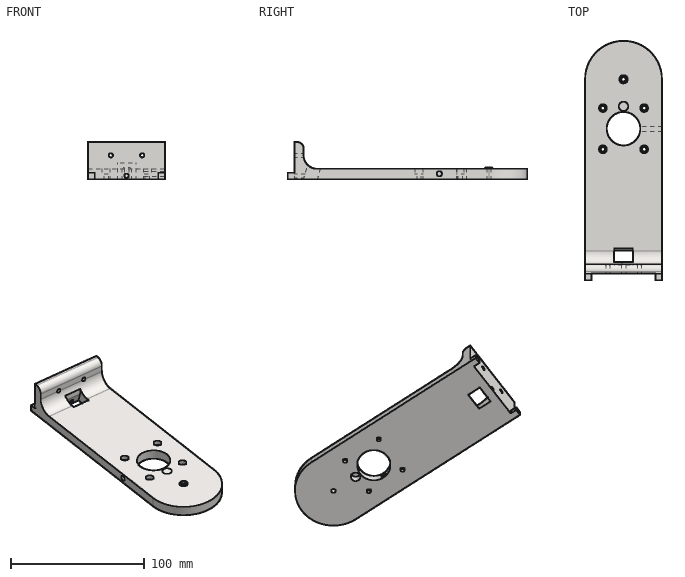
import cadquery as cq
import math

length = 180.0
width = 58.0
height = 28.0
plate_thickness = 8.0
end_radius = width / 2

foot_size = 5.0
wall_thickness = 7.0
wall_front = foot_size
wall_back = wall_front + wall_thickness
inner_fillet = 10.0
top_round = 5.0
wall_hole_diameter = 3.0
wall_hole_spacing = 23.5
wall_hole_height = 18.0

bore_diameter = 25.0
bore_y = 114.0
mount_spacing = 31.0
screw_diameter = 3.2
counterbore_diameter = 6.0
counterbore_depth = 4.0

boss_y = length - end_radius
boss_base_diameter = 6.3
boss_top_diameter = 4.9
boss_height = 1.0

pocket_diameter = 7.0
pocket_y = 130.7
pocket_skin = 0.2

window_width = 14.0
window_front = 13.9
window_lean = 2.2
window_back = 24.3

front_hole_diameter = 3.2
front_hole_height = 2.7
side_hole_diameter = 4.0
side_hole_height = 4.1


def vertical_cylinder(diameter, x, y, bottom, top):
    cylinder = cq.Workplane("XY", origin=(x, y, bottom)).circle(diameter / 2)
    return cylinder.extrude(top - bottom)


def hole_along_y(diameter, x, z, y_end):
    solid = cq.Solid.makeCylinder(diameter / 2, y_end, cq.Vector(x, 0, z), cq.Vector(0, 1, 0))
    return cq.Workplane(solid)


def make_plate():
    outline = (
        cq.Workplane("XY")
        .moveTo(-width / 2, wall_front)
        .lineTo(width / 2, wall_front)
        .lineTo(width / 2, boss_y)
        .threePointArc((0, length), (-width / 2, boss_y))
        .close()
    )
    return outline.extrude(plate_thickness)


def make_wall():
    """Upright wall with a rounded top edge and a concave foot."""
    round_shift = top_round * math.sqrt(0.5)
    fillet_shift = inner_fillet * math.sqrt(0.5)
    fillet_y = wall_back + inner_fillet
    fillet_z = plate_thickness + inner_fillet
    profile = (
        cq.Workplane("YZ", origin=(-width / 2, 0, 0))
        .moveTo(wall_front, 0)
        .lineTo(wall_front, height)
        .lineTo(wall_back - top_round, height)
        .threePointArc(
            (wall_back - top_round + round_shift, height - top_round + round_shift),
            (wall_back, height - top_round),
        )
        .lineTo(wall_back, fillet_z)
        .threePointArc(
            (fillet_y - fillet_shift, fillet_z - fillet_shift),
            (fillet_y, plate_thickness),
        )
        .lineTo(fillet_y, 0)
        .close()
    )
    return profile.extrude(width)


def make_foot(side):
    """Square foot flush with one side of the plate; side is -1 or 1."""
    centre_x = side * (width - foot_size) / 2
    return cq.Workplane("XY").box(
        foot_size, foot_size, foot_size, centered=(True, False, False)
    ).translate((centre_x, 0, 0))


def make_boss():
    return (
        cq.Workplane("XY", origin=(0, boss_y, plate_thickness))
        .circle(boss_base_diameter / 2)
        .workplane(offset=boss_height)
        .circle(boss_top_diameter / 2)
        .loft()
    )


def make_window():
    profile = (
        cq.Workplane("YZ", origin=(-window_width / 2, 0, 0))
        .moveTo(window_front - window_lean, 0)
        .lineTo(window_front, plate_thickness)
        .lineTo(window_front, height)
        .lineTo(window_back, height)
        .lineTo(window_back, plate_thickness)
        .lineTo(window_back - window_lean, 0)
        .close()
    )
    return profile.extrude(window_width)


body = make_plate().union(make_wall()).union(make_boss())
for side in (-1, 1):
    body = body.union(make_foot(side))

body = body.cut(vertical_cylinder(bore_diameter, 0, bore_y, 0, plate_thickness))
for side_x in (-1, 1):
    for side_y in (-1, 1):
        x = side_x * mount_spacing / 2
        y = bore_y + side_y * mount_spacing / 2
        body = body.cut(vertical_cylinder(screw_diameter, x, y, 0, plate_thickness))
        counterbore_floor = plate_thickness - counterbore_depth
        body = body.cut(vertical_cylinder(counterbore_diameter, x, y, counterbore_floor, plate_thickness))

boss_top = plate_thickness + boss_height
body = body.cut(vertical_cylinder(screw_diameter, 0, boss_y, 0, boss_top))

body = body.cut(vertical_cylinder(pocket_diameter, 0, pocket_y, 0, plate_thickness - pocket_skin))

body = body.cut(make_window())
body = body.cut(hole_along_y(front_hole_diameter, 0, front_hole_height, window_front))

for side in (-1, 1):
    wall_hole_x = side * wall_hole_spacing / 2
    wall_hole_end = wall_back + inner_fillet
    body = body.cut(hole_along_y(wall_hole_diameter, wall_hole_x, wall_hole_height, wall_hole_end))

side_hole = cq.Solid.makeCylinder(
    side_hole_diameter / 2, width / 2, cq.Vector(0, bore_y, side_hole_height), cq.Vector(1, 0, 0)
)
result = body.cut(cq.Workplane(side_hole))